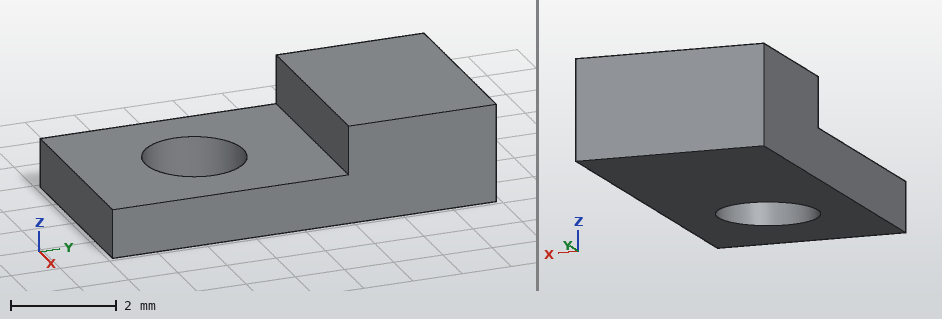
import cadquery as cq

length = 7.8
width = 3.8
height = 2.0
block_length = 3.0
hole_diameter = 2.0

tongue_length = length - block_length
tongue_thickness = height / 2

tongue = cq.Workplane("XY").box(width, tongue_length, tongue_thickness, centered=(True, False, False))
block = (
    cq.Workplane("XY", origin=(0, tongue_length, 0))
    .box(width, block_length, height, centered=(True, False, False))
)

hole = (
    cq.Workplane("XY", origin=(0, tongue_length / 2, 0))
    .circle(hole_diameter / 2)
    .extrude(tongue_thickness)
)

result = tongue.union(block).cut(hole)